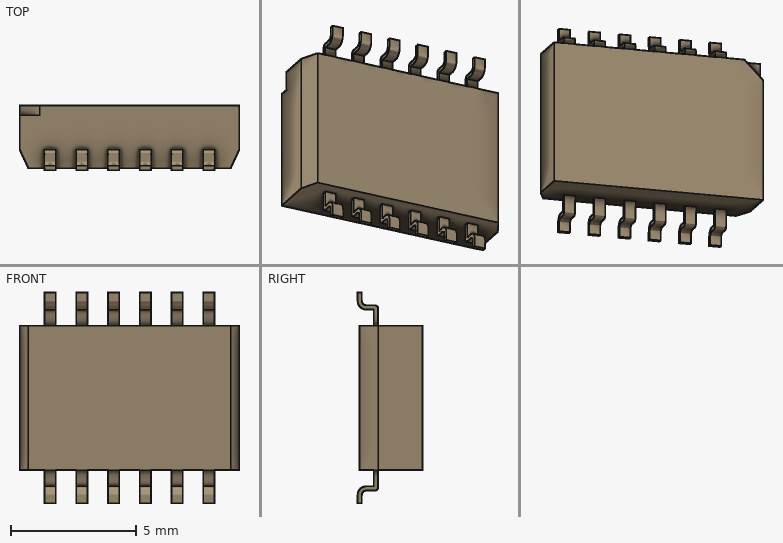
import cadquery as cq

body_length = 8.79
body_thickness = 2.52
body_height = 5.78
bevel_length = 0.35
bevel_depth = 0.75

mark_leg = 0.80
mark_depth = 0.40

leads_per_row = 6
lead_pitch = 1.27
lead_width = 0.46
lead_thickness = 0.18
lead_embed = 0.30
overall_height = 8.44
overall_thickness = 2.60
shoulder_radius = 0.14
foot_inner_radius = 0.175
foot_outer_radius = foot_inner_radius + lead_thickness
foot_straight = 0.335

front_y = -body_thickness / 2
back_y = body_thickness / 2
half_length = body_length / 2
half_height = body_height / 2
lead_back_y = front_y + bevel_depth
foot_front_y = back_y - overall_thickness
tip_z = overall_height / 2


def make_body():
    """Extruded block with its two front corners bevelled."""
    half_front = half_length - bevel_length
    outline = [
        (-half_length, back_y),
        (-half_length, front_y + bevel_depth),
        (-half_front, front_y),
        (half_front, front_y),
        (half_length, front_y + bevel_depth),
        (half_length, back_y),
    ]
    return (
        cq.Workplane("XY")
        .workplane(offset=-half_height)
        .polyline(outline)
        .close()
        .extrude(body_height)
    )


def make_pin_one_mark():
    """Triangular prism removed from the upper back corner on the -X side."""
    return (
        cq.Workplane("XZ", origin=(0, back_y, 0))
        .moveTo(-half_length, half_height)
        .lineTo(-half_length + mark_leg, half_height)
        .lineTo(-half_length, half_height - mark_leg)
        .close()
        .extrude(mark_depth)
    )


def make_lead(centre_x):
    """Upper lead: rises from the body, bends forward, then turns up into its foot."""
    foot_bend_z = tip_z - foot_straight
    arm_low_z = foot_bend_z - foot_outer_radius
    arm_high_z = arm_low_z + lead_thickness
    foot_back_y = foot_front_y + lead_thickness
    bend_y = foot_front_y + foot_outer_radius
    root_z = half_height - lead_embed
    root_front_y = lead_back_y - lead_thickness
    return (
        cq.Workplane("YZ", origin=(centre_x - lead_width / 2, 0, 0))
        .moveTo(lead_back_y, root_z)
        .lineTo(lead_back_y, arm_high_z - shoulder_radius)
        .radiusArc((lead_back_y - shoulder_radius, arm_high_z), -shoulder_radius)
        .lineTo(bend_y, arm_high_z)
        .radiusArc((foot_back_y, foot_bend_z), foot_inner_radius)
        .lineTo(foot_back_y, tip_z)
        .lineTo(foot_front_y, tip_z)
        .lineTo(foot_front_y, foot_bend_z)
        .radiusArc((bend_y, arm_low_z), -foot_outer_radius)
        .lineTo(root_front_y, arm_low_z)
        .lineTo(root_front_y, root_z)
        .close()
        .extrude(lead_width)
    )


result = make_body().cut(make_pin_one_mark())
first_lead_x = -lead_pitch * (leads_per_row - 1) / 2
for index in range(leads_per_row):
    upper_lead = make_lead(first_lead_x + index * lead_pitch)
    result = result.union(upper_lead).union(upper_lead.mirror("XY"))